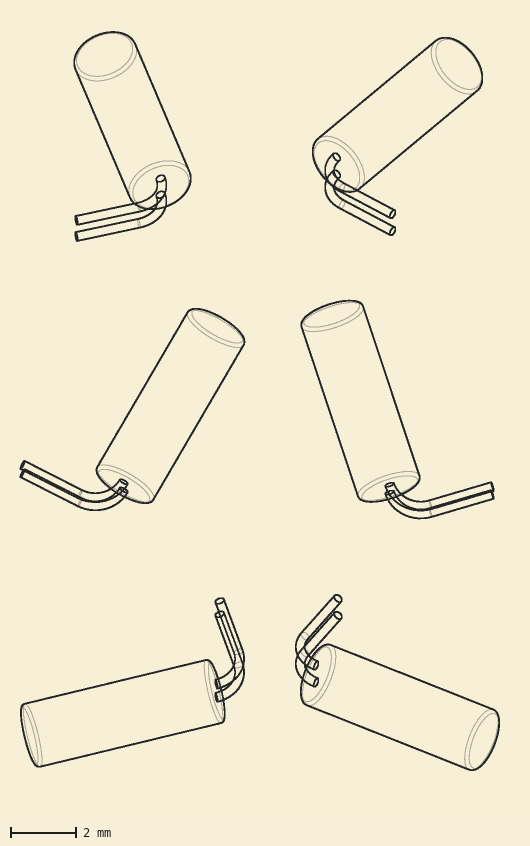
import cadquery as cq
import math

body_length = 6.0
body_diameter = 2.0
rim_fillet = 0.1

lead_diameter = 0.28
lead_pitch = 0.7
bend_radius = 1.0
straight_length = 2.0


def make_body():
    """Cylinder with both end rims rounded."""
    cylinder = cq.Workplane("YZ").circle(body_diameter / 2).extrude(body_length)
    return cylinder.faces("<X or >X").edges().fillet(rim_fillet)


def make_lead(height):
    """Round wire at the given Z: a quarter bend, then a straight run along -Y."""
    bend_side = bend_radius * math.sin(math.pi / 4)
    bend_middle = (body_length + bend_side, bend_side - bend_radius)
    bend_end = (body_length + bend_radius, -bend_radius)
    centreline = (
        cq.Workplane("XY", origin=(0, 0, height))
        .moveTo(body_length, 0)
        .threePointArc(bend_middle, bend_end)
        .line(0, -straight_length)
    )
    section = cq.Workplane("YZ", origin=(body_length, 0, height)).circle(lead_diameter / 2)
    return section.sweep(centreline)


result = make_body()
for side in (-1, 1):
    result = result.union(make_lead(side * lead_pitch / 2))